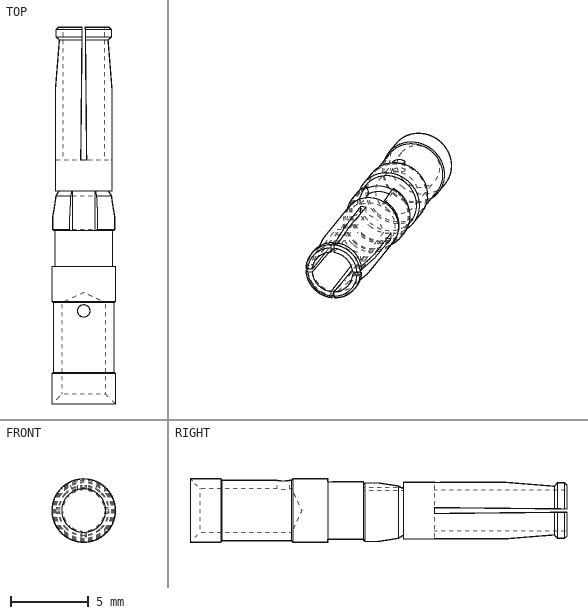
import cadquery as cq
import math

LENGTH = 24.2

COLLAR_DIA = 4.1
BARREL_DIA = 3.9
WAIST_DIA = 3.7
SLEEVE_DIA = 3.65
PINCH_DIA = 3.15

FRONT_COLLAR_END = 1.95
MIDDLE_COLLAR_START = 6.58
MIDDLE_COLLAR_END = 8.83
RING_START = 11.13
SLEEVE_START = 13.67
PINCH_START = 20.23
COLLAR_CHAMFER_LENGTH = 0.07

BEAD_START = 23.38
BEAD_LOWER_EDGE = 23.57
BEAD_CHAMFER = 0.17
BEAD_DIA = 3.58
BEAD_TIP_DIA = 3.25

RING_SEAT_DIA = 2.95
RING_DIA = 4.0
RING_CHAMFER = 0.07
RING_TAPER_START = 12.05
RING_SHOULDER_DIA = 3.58
RING_SHOULDER = 13.35
RING_TIP_DIA = 3.2

WINDOW_FLOOR_WIDTH = 1.45
WINDOW_FLOOR_HEIGHT = 1.28
WINDOW_SIDE_ANGLE = 19.0

WIRE_BORE_DIA = 2.8
FUNNEL_DEPTH = 0.63
WIRE_BORE_DEPTH = 6.5
DRILL_POINT_ANGLE = 130.0

INSPECTION_DIA = 0.8
INSPECTION_Y = 5.98

MATING_BORE_DIA = 2.65
SLOT_BOTTOM = 15.68
SLOT_BOTTOM_WIDTH = 0.36
SLOT_MOUTH_WIDTH = 0.2


def revolve_profile(stations):
    """Solid of revolution about Y from (diameter, y) pairs, closed along the axis."""
    points = [(diameter / 2, y) for diameter, y in stations]
    outline = [(0, stations[0][1])] + points
    if points[-1][0] > 0:
        outline.append((0, stations[-1][1]))
    return cq.Workplane("XY").polyline(outline).close().revolve(360, (0, 0), (0, 1))


def make_body():
    return revolve_profile([
        (COLLAR_DIA, 0),
        (COLLAR_DIA, FRONT_COLLAR_END),
        (BARREL_DIA, FRONT_COLLAR_END + COLLAR_CHAMFER_LENGTH),
        (BARREL_DIA, MIDDLE_COLLAR_START - COLLAR_CHAMFER_LENGTH),
        (COLLAR_DIA, MIDDLE_COLLAR_START),
        (COLLAR_DIA, MIDDLE_COLLAR_END),
        (WAIST_DIA, MIDDLE_COLLAR_END),
        (WAIST_DIA, RING_START),
        (RING_SEAT_DIA, RING_START),
        (RING_SEAT_DIA, SLEEVE_START),
        (SLEEVE_DIA, SLEEVE_START),
        (SLEEVE_DIA, PINCH_START),
        (PINCH_DIA, BEAD_START),
        (BEAD_DIA, BEAD_LOWER_EDGE),
        (BEAD_DIA, LENGTH - BEAD_CHAMFER),
        (BEAD_TIP_DIA, LENGTH),
    ])


def make_retaining_ring():
    ring = revolve_profile([
        (RING_DIA - 2 * RING_CHAMFER, RING_START),
        (RING_DIA, RING_START + RING_CHAMFER),
        (RING_DIA, RING_TAPER_START),
        (RING_SHOULDER_DIA, RING_SHOULDER),
        (RING_TIP_DIA, SLEEVE_START),
    ])
    window_top = RING_DIA / 2
    spread = (window_top - WINDOW_FLOOR_HEIGHT) * math.tan(math.radians(WINDOW_SIDE_ANGLE))
    floor_half = WINDOW_FLOOR_WIDTH / 2
    top_half = floor_half + spread
    window = (
        cq.Workplane("XZ", origin=(0, RING_START, 0))
        .polyline([
            (-floor_half, WINDOW_FLOOR_HEIGHT),
            (floor_half, WINDOW_FLOOR_HEIGHT),
            (top_half, window_top),
            (-top_half, window_top),
        ])
        .close()
        .extrude(RING_START - SLEEVE_START)
    )
    return ring.cut(window)


def make_wire_bore():
    point_length = WIRE_BORE_DIA / 2 / math.tan(math.radians(DRILL_POINT_ANGLE / 2))
    return revolve_profile([
        (COLLAR_DIA, 0),
        (WIRE_BORE_DIA, FUNNEL_DEPTH),
        (WIRE_BORE_DIA, WIRE_BORE_DEPTH),
        (0, WIRE_BORE_DEPTH + point_length),
    ])


def make_inspection_hole():
    return (
        cq.Workplane("XY")
        .center(0, INSPECTION_Y)
        .circle(INSPECTION_DIA / 2)
        .extrude(BARREL_DIA / 2)
    )


def make_mating_bore():
    return revolve_profile([(MATING_BORE_DIA, SLOT_BOTTOM), (MATING_BORE_DIA, LENGTH)])


def make_slot():
    """Slot that crosses the whole sleeve from +Z to -Z."""
    bottom_half = SLOT_BOTTOM_WIDTH / 2
    mouth_half = SLOT_MOUTH_WIDTH / 2
    return (
        cq.Workplane("XY")
        .polyline([
            (-bottom_half, SLOT_BOTTOM),
            (bottom_half, SLOT_BOTTOM),
            (mouth_half, LENGTH),
            (-mouth_half, LENGTH),
        ])
        .close()
        .extrude(SLEEVE_DIA / 2, both=True)
    )


result = make_body().union(make_retaining_ring())
result = result.cut(make_wire_bore()).cut(make_inspection_hole()).cut(make_mating_bore())
for slot_angle in (0, 90):
    result = result.cut(make_slot().rotate((0, 0, 0), (0, 1, 0), slot_angle))